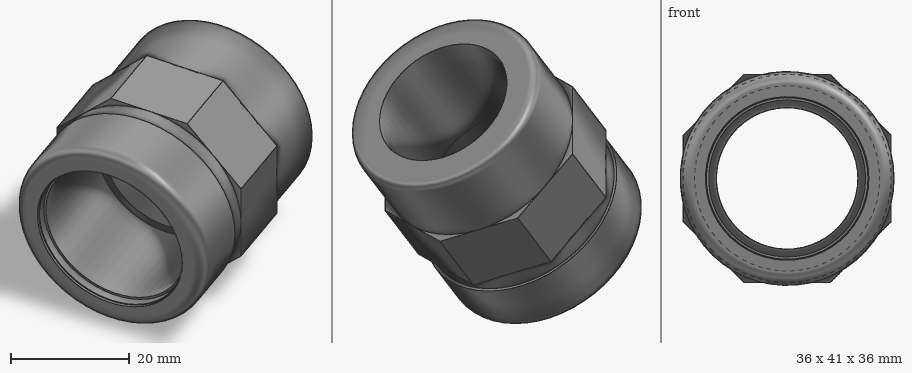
import cadquery as cq
import math

TOTAL_LENGTH = 41.0
CAP_LENGTH = 11.03
OCTAGON_START = 14.2
OCTAGON_END = 27.2

CAP_DIAMETER = 36.0
CAP_FILLET = 1.95
MOUTH_DIAMETER = 27.5
CAP_HOLE_DIAMETER = 27.2
MOUTH_DEPTH = 0.5
LIP_LENGTH = 2.0

BODY_DIAMETER = 35.0
BODY_FILLET = 1.48
SPIGOT_DIAMETER = 31.15
FRONT_BORE_DIAMETER = 26.4
REAR_BORE_DIAMETER = 23.8
BORE_STEP = 20.5
OCTAGON_SIDES = 8


def cylinder(diameter, start, end):
    """Solid cylinder on the Y axis between two Y positions."""
    plane = cq.Plane(origin=(0, start, 0), xDir=(1, 0, 0), normal=(0, 1, 0))
    return cq.Workplane(plane).circle(diameter / 2).extrude(end - start)


def octagon_prism():
    """Wrench flats, turned so that four flats face along X and Z."""
    across_corners = BODY_DIAMETER / math.cos(math.pi / OCTAGON_SIDES)
    plane = cq.Plane(origin=(0, OCTAGON_START, 0), xDir=(1, 0, 0), normal=(0, 1, 0))
    prism = cq.Workplane(plane).polygon(OCTAGON_SIDES, across_corners).extrude(OCTAGON_END - OCTAGON_START)
    return prism.rotate((0, 0, 0), (0, 1, 0), 180 / OCTAGON_SIDES)


def make_body():
    """Octagonal body whose spigot fills the cap socket, with a stepped bore."""
    barrel = cylinder(BODY_DIAMETER, CAP_LENGTH, TOTAL_LENGTH).faces(">Y").edges().fillet(BODY_FILLET)
    spigot = cylinder(SPIGOT_DIAMETER, LIP_LENGTH, CAP_LENGTH)
    front_bore = cylinder(FRONT_BORE_DIAMETER, LIP_LENGTH, BORE_STEP)
    rear_bore = cylinder(REAR_BORE_DIAMETER, BORE_STEP, TOTAL_LENGTH)
    return barrel.union(octagon_prism()).union(spigot).cut(front_bore).cut(rear_bore)


def make_cap():
    """Rounded cap with a shallow counterbored mouth and a socket for the body's spigot."""
    shell = cylinder(CAP_DIAMETER, 0, CAP_LENGTH).faces("<Y").edges().fillet(CAP_FILLET)
    mouth = cylinder(MOUTH_DIAMETER, 0, MOUTH_DEPTH)
    hole = cylinder(CAP_HOLE_DIAMETER, MOUTH_DEPTH, LIP_LENGTH)
    socket = cylinder(SPIGOT_DIAMETER, LIP_LENGTH, CAP_LENGTH)
    return shell.cut(mouth).cut(hole).cut(socket)


body = make_body()
cap = make_cap()
result = cq.Compound.makeCompound([body.val(), cap.val()])